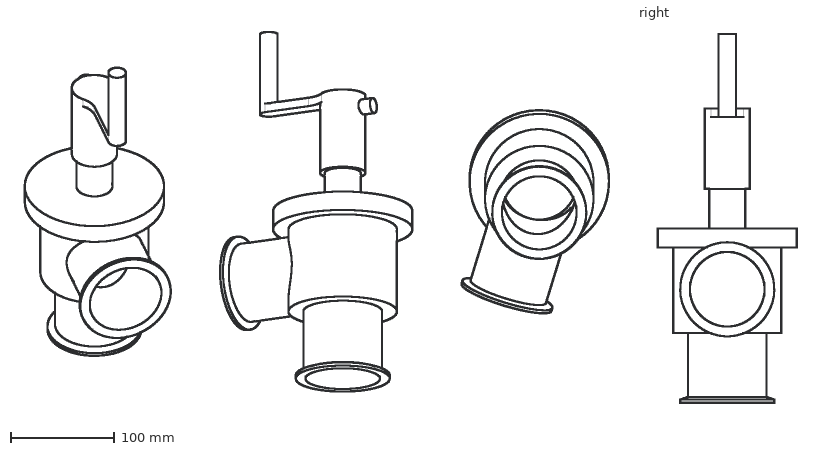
import cadquery as cq
import math

flange_diameter = 135.0
body_diameter = 105.0
body_bottom = 67.5
flange_bottom = 150.5
flange_top = 169.0

pipe_diameter = 76.5
bore_diameter = 72.0
ferrule_diameter = 91.0
ferrule_rim_thickness = 3.2
ferrule_taper_angle = 20
overall_length = 177.5
outlet_reach = overall_length - flange_diameter / 2
outlet_height = 110.0

stem_diameter = 35.0
hub_diameter = 44.0
hub_bottom = 207.0
hub_top = 285.0
pin_diameter = 15.0
pin_reach = 33.2
pin_height = 270.7

handle_diameter = 17.0
handle_offset = 80.0
handle_top = 357.0
lever_thickness = 8.5
lever_blend_radius = 25.0


def cylinder(diameter, bottom, top):
    """Upright cylinder on the Z axis."""
    return cq.Workplane("XY").workplane(offset=bottom).circle(diameter / 2).extrude(top - bottom)


def ferruled_pipe(length):
    """Solid pipe along +Z with a back-tapered clamp ferrule at Z = 0."""
    pipe_radius = pipe_diameter / 2
    rim_radius = ferrule_diameter / 2
    taper_height = (rim_radius - pipe_radius) * math.tan(math.radians(ferrule_taper_angle))
    return (
        cq.Workplane("XZ")
        .lineTo(rim_radius, 0)
        .lineTo(rim_radius, ferrule_rim_thickness)
        .lineTo(pipe_radius, ferrule_rim_thickness + taper_height)
        .lineTo(pipe_radius, length)
        .lineTo(0, length)
        .close()
        .revolve(360, (0, 0, 0), (0, 1, 0))
    )


def to_outlet(shape):
    """Turn a shape built from the inlet face so that it runs inward from the outlet face."""
    return shape.rotate((0, 0, 0), (0, 1, 0), -90).translate((outlet_reach, 0, outlet_height))


def lever():
    """Flat arm that flares tangentially into the hub."""
    hub_radius = hub_diameter / 2
    half_width = handle_diameter / 2
    center_distance = hub_radius + lever_blend_radius
    center_y = half_width + lever_blend_radius
    center_x = math.sqrt(center_distance**2 - center_y**2)
    hub_touch_x = center_x * hub_radius / center_distance
    hub_touch_y = center_y * hub_radius / center_distance
    return (
        cq.Workplane("XY")
        .workplane(offset=hub_top - lever_thickness)
        .moveTo(0, 0)
        .lineTo(hub_touch_x, -hub_touch_y)
        .radiusArc((center_x, -half_width), lever_blend_radius)
        .lineTo(handle_offset, -half_width)
        .lineTo(handle_offset, half_width)
        .lineTo(center_x, half_width)
        .radiusArc((hub_touch_x, hub_touch_y), lever_blend_radius)
        .close()
        .extrude(lever_thickness)
    )


def handle():
    """Round grip standing at the end of the lever."""
    return cylinder(handle_diameter, hub_top - lever_thickness, handle_top).translate((handle_offset, 0, 0))


def stop_pin():
    """Round pin pointing along -X from inside the hub."""
    return (
        cq.Workplane("YZ")
        .center(0, pin_height)
        .circle(pin_diameter / 2)
        .extrude(-pin_reach)
    )


housing = (
    cylinder(body_diameter, body_bottom, flange_bottom)
    .union(cylinder(flange_diameter, flange_bottom, flange_top))
    .union(ferruled_pipe(body_bottom))
    .union(to_outlet(ferruled_pipe(outlet_reach)))
)

inlet_bore = cylinder(bore_diameter, 0, outlet_height + bore_diameter / 2)
outlet_bore = to_outlet(cylinder(bore_diameter, 0, outlet_reach))
housing = housing.cut(inlet_bore).cut(outlet_bore)

crank = (
    cylinder(stem_diameter, flange_top, hub_bottom)
    .union(cylinder(hub_diameter, hub_bottom, hub_top))
    .union(stop_pin())
    .union(lever())
    .union(handle())
)

result = housing.union(crank)